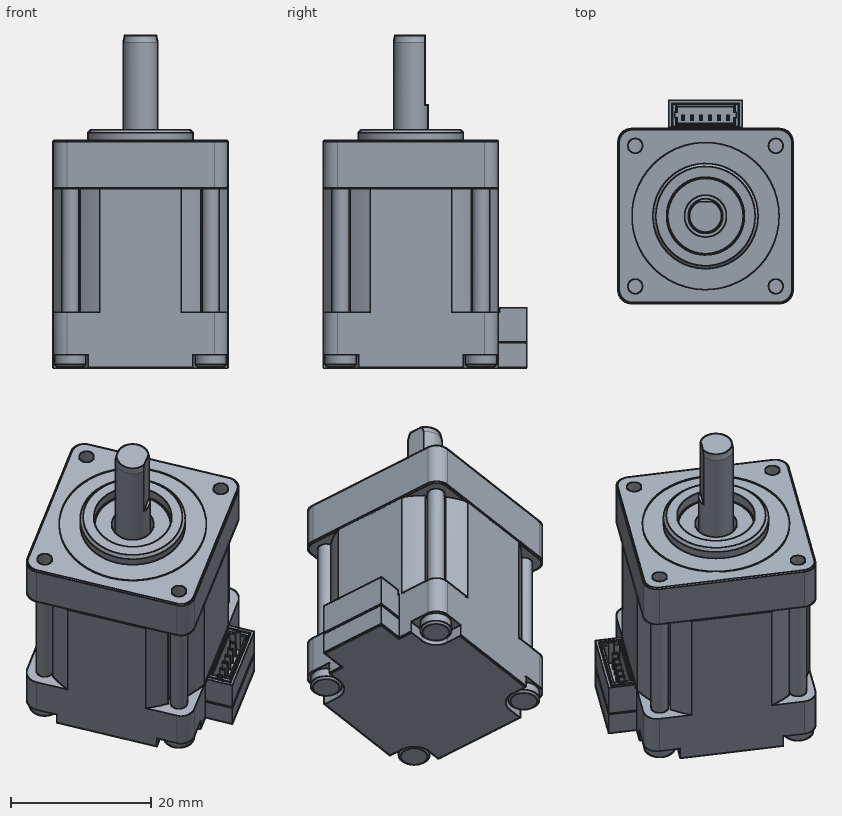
import cadquery as cq

total_height = 47.5
body_width = 25.0
half_width = body_width / 2
corner_radius = 2.0
flange_chamfer = 0.2
housing_chamfer = 0.15

housing_height = 8.05
flange_bottom = 25.6
flange_top = 32.55
boss_top = 34.05

stator_radius = 13.78
screw_offset = 10.0
screw_radius = 1.25
screw_clearance_radius = 1.55
head_radius = 2.25
head_bottom = 0.25
head_chamfer = 0.35
notch_radius = 2.55
notch_height = 1.95

ring_radius = 10.5
ring_depth = 0.15
mount_hole_radius = 1.05
mount_hole_depth = 3.5

boss_radius = 7.5
boss_chamfer = 0.45
seat_radius = 5.55
seat_depth = 1.5
seat_groove_width = 0.2
seat_groove_depth = 0.15

shaft_radius = 2.45
shaft_tip_length = 0.95
shaft_tip_radius = 2.3
flat_depth = 0.45
flat_bottom = 37.55
bore_radius = 3.0

connector_width = 10.55
connector_height = 8.7
connector_back = 16.55
seam_height = 3.65
seam_width = 0.15
seam_depth = 0.1
shell_wall = 0.45
shell_gap = 0.15
shell_gap_depth = 0.2
body_gap = 0.15
cavity_width = 8.1
cavity_front = 13.2
cavity_rear = 15.6
cavity_depth = 3.8
cavity_chamfer = 0.2
cavity_rear_chamfer = 0.35
key_reach = 0.35
key_length = 0.75
key_center = 14.4
pin_count = 6
pin_pitch = 1.3
pin_width = 0.35
pin_length = 0.75
pin_height = 2.85
pin_tip_chamfer = 0.1
pin_center = 14.0

screw_centers = [
    (sx * screw_offset, sy * screw_offset)
    for sx in (-1, 1)
    for sy in (-1, 1)
]


def cylinder(radius, bottom, top):
    """Cylinder on the Z axis between two heights."""
    return cq.Workplane("XY").workplane(offset=bottom).circle(radius).extrude(top - bottom)


def screw_cylinders(radius, bottom, top):
    """One cylinder at each of the four screw positions."""
    plane = cq.Workplane("XY").workplane(offset=bottom)
    return plane.pushPoints(screw_centers).circle(radius).extrude(top - bottom)


def square_block(bottom, top):
    """Slab with the full square body outline."""
    plane = cq.Workplane("XY").workplane(offset=bottom)
    return plane.rect(body_width, body_width).extrude(top - bottom)


def box(width, front, rear, bottom, top):
    """Box centred on X = 0 that spans front to rear in Y and bottom to top in Z."""
    plane = cq.Workplane("XY").workplane(offset=bottom)
    return plane.center(0, (front + rear) / 2).rect(width, rear - front).extrude(top - bottom)


def make_housing():
    """Rear housing with a rounded notch under each corner for the screw heads."""
    tab = box(connector_width, 0, connector_back, 0, seam_height)
    housing = square_block(0, housing_height).edges("|Z").fillet(corner_radius)
    housing = housing.union(tab).faces("<Z").edges().chamfer(housing_chamfer)
    notch_inner = screw_offset - notch_radius
    notch_size = 2 * (half_width - notch_inner)
    corners = [(sx * half_width, sy * half_width) for sx in (-1, 1) for sy in (-1, 1)]
    notches = (
        cq.Workplane("XY")
        .pushPoints(corners)
        .rect(notch_size, notch_size)
        .extrude(notch_height)
        .edges("|Z")
        .fillet(notch_radius)
    )
    return housing.cut(notches)


def make_stator():
    """Square stack trimmed by a circle, grooved around each screw."""
    bottom = housing_height
    stator = square_block(bottom, flange_bottom)
    stator = stator.intersect(cylinder(stator_radius, bottom, flange_bottom))
    return stator.cut(screw_cylinders(screw_clearance_radius, bottom, flange_bottom))


def make_screws():
    """Screw shanks beside the stator and chamfered heads in the housing notches."""
    shanks = screw_cylinders(screw_radius, notch_height, flange_bottom)
    heads = screw_cylinders(head_radius, head_bottom, notch_height)
    return shanks.union(heads.faces("<Z").edges().chamfer(head_chamfer))


def make_flange():
    """Front flange with mounting holes, a shallow round recess and the pilot boss."""
    flange = square_block(flange_bottom, flange_top).edges("|Z").fillet(corner_radius)
    flange = flange.faces("<Z or >Z").edges().chamfer(flange_chamfer)
    recess_floor = flange_top - ring_depth
    flange = flange.cut(cylinder(ring_radius, recess_floor, flange_top))
    flange = flange.cut(screw_cylinders(mount_hole_radius, flange_top - mount_hole_depth, flange_top))
    boss = cylinder(boss_radius, recess_floor, boss_top).faces(">Z").edges().chamfer(boss_chamfer)
    flange = flange.union(boss)
    seat_floor = boss_top - seat_depth
    flange = flange.cut(cylinder(seat_radius, seat_floor, boss_top))
    groove = cylinder(seat_radius, seat_floor - seat_groove_depth, seat_floor)
    groove_core = cylinder(seat_radius - seat_groove_width, seat_floor - seat_groove_depth, seat_floor)
    return flange.cut(groove.cut(groove_core))


def make_shaft():
    """Shaft with a tapered tip and a flat on its +Y side."""
    shaft = cylinder(shaft_radius, 0, total_height)
    tip_edge = shaft.faces(">Z").edges()
    shaft = tip_edge.chamfer(shaft_tip_length, shaft_radius - shaft_tip_radius)
    flat_y = shaft_radius - flat_depth
    return shaft.cut(box(2 * shaft_radius, flat_y, shaft_radius, flat_bottom, total_height))


def make_connector():
    """Open-topped connector with a pin row, keyed cavity and a gap inside its shell."""
    top = connector_height
    front = half_width - housing_chamfer
    upper_bottom = seam_height + seam_width
    connector = box(connector_width, front, connector_back, upper_bottom, top)
    neck_width = connector_width - 2 * seam_depth
    connector = connector.union(
        box(neck_width, front, connector_back - seam_depth, seam_height, upper_bottom)
    )

    connector = connector.cut(box(connector_width, front, half_width + body_gap, housing_height, top))

    gap_width = connector_width - 2 * shell_wall
    gap_rear = connector_back - shell_wall
    insert_width = gap_width - 2 * shell_gap
    insert_front = half_width + body_gap + shell_gap
    gap_floor = top - shell_gap_depth
    gap = box(gap_width, insert_front - shell_gap, gap_rear, gap_floor, top)
    insert = box(insert_width, insert_front, gap_rear - shell_gap, gap_floor, top)
    connector = connector.cut(gap.cut(insert))

    floor = top - cavity_depth
    cavity = box(cavity_width, cavity_front, cavity_rear, floor, top)
    mouth_width = cavity_width + 2 * cavity_chamfer
    mouth_front = cavity_front - cavity_chamfer
    mouth_rear = cavity_rear + cavity_rear_chamfer
    mouth_center = (mouth_front + mouth_rear) / 2
    cavity_center = (cavity_front + cavity_rear) / 2
    lead_in = (
        cq.Workplane("XY", origin=(0, mouth_center, top))
        .rect(mouth_width, mouth_rear - mouth_front)
        .workplane(offset=-cavity_chamfer)
        .center(0, cavity_center - mouth_center)
        .rect(cavity_width, cavity_rear - cavity_front)
        .loft()
    )
    key_width = cavity_width + 2 * key_reach
    keys = box(key_width, key_center - key_length / 2, key_center + key_length / 2, floor, top)
    connector = connector.cut(cavity).cut(lead_in).cut(keys)

    first_pin = -pin_pitch * (pin_count - 1) / 2
    pin_points = [(first_pin + i * pin_pitch, pin_center) for i in range(pin_count)]
    pin_plane = cq.Workplane("XY").workplane(offset=floor)
    pins = pin_plane.pushPoints(pin_points).rect(pin_width, pin_length).extrude(pin_height)
    return connector.union(pins.faces(">Z").edges().chamfer(pin_tip_chamfer))


body = make_housing().union(make_stator()).union(make_flange()).union(make_screws())
body = body.union(make_connector())

body = body.cut(cylinder(bore_radius, notch_height, boss_top))
result = body.union(make_shaft())